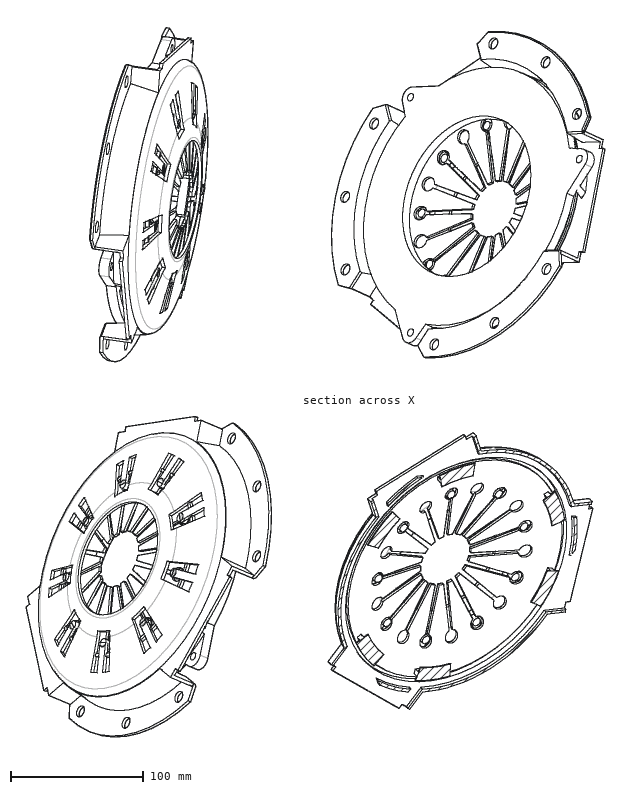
import cadquery as cq
import math


SHEET = 2.5
FLANGE_THICKNESS = 2.8
FLANGE_RADIUS = 129.0
FLANGE_MIDDLE = 45.8
FLANGE_CORNER_ANGLE = 32.8
FLANGE_EDGE_CHAMFER = 1.0
FLANGE_RIM_REACH = 97.0
FLANGE_ROOT = 51.0
BOLT_CIRCLE_RADIUS = 119.0
BOLT_DIAMETER = 8.7
BOLT_SPACING = 29.0
WALL_OUTER_RADIUS_FRONT = 109.3
WALL_OUTER_RADIUS_BACK = 105.3
FLOOR_BACK = 24.8
FLOOR_FRONT = FLOOR_BACK - SHEET
FLOOR_OPENING_RADIUS = 101.0
LIP_RADIUS = 104.8
CONE_RADIUS = 100.5
CONE_DEPTH = 29.5
KINK_RADIUS = 61.5
KINK_DEPTH = 36.0
CROWN_RADIUS = 47.5
CROWN_DEPTH = 40.0
COVER_BORE_RADIUS = 90.0 / 2

BAY_ANGLE = FLANGE_MIDDLE + 60.0
BAY_HALF_WIDTH = 46.0
BAY_EDGE = 114.5
BAY_EDGE_HALF_LENGTH = 41.0
BAY_WALL_EDGE = 110.5
BAY_CHAMFER = 1.3

WINDOW_COUNT = 9
WINDOW_INNER_RADIUS = 57.0
WINDOW_OUTER_RADIUS = 88.1
WINDOW_HALF_ANGLE = 7.2
PIN_DIAMETER = 6.6
PIN_CIRCLE_RADIUS = 65.5
PIN_FRONT = 29.0
PIN_BACK = 35.0

PLATE_FRONT = 6.0
PLATE_BACK = 13.8
PLATE_RADIUS = 102.2
PLATE_BORE = 127.0
LUG_CENTER = 111.5
LUG_RADIUS = 8.2
LUG_HOLE = 6.0
LUG_UPPER_SLOPE = 17.0
LUG_LOWER_SLOPE = 45.0
LUG_UPPER_FOOT = 6.6
LUG_LOWER_FOOT = -14.0
PAD_BACK = 20.7
PAD_INNER_RADIUS = 84.3
PAD_OUTER_RADIUS = 95.8
PAD_SPAN = 19.0
PAD_START_ANGLES = (-39.5, 7.0)
RIDGE_BACK = 25.5
RIDGE_INNER_RADIUS = 88.1
RIDGE_OUTER_RADIUS = 92.0

SPRING_THICKNESS = 2.3
SPRING_RADIUS = 94.5
SPRING_RIM_DEPTH = 23.8
SPRING_BORE_RADIUS = 22.2
SPRING_TIP_DEPTH = 37.0
SLOT_COUNT = 18
SLOT_INNER_WIDTH = 3.8
SLOT_OUTER_WIDTH = 2.8
KEYHOLE_RADIUS = 66.5
KEYHOLE_DIAMETER = 10.7
FULCRUM_RADIUS = 73.0
FULCRUM_WIDTH = 2.5
FULCRUM_FRONT = 28.9
FULCRUM_BACK = 32.2

REPEATS = 3
FACE = cq.Plane(origin=(0, 0, 0), xDir=(0, -1, 0), normal=(-1, 0, 0))
OVERALL = 153.3


def polar(radius, angle):
    return radius * math.cos(math.radians(angle)), radius * math.sin(math.radians(angle))


def sketch(depth):
    return cq.Workplane(FACE).workplane(offset=-depth)


def slab(outline, front, back):
    """Extrude a closed outline drawn at the front depth to the back depth."""
    return outline.extrude(front - back)


def turn(body, angle):
    """Turn a body about the axis, counterclockwise as seen from -X."""
    return body.rotate((0, 0, 0), (-1, 0, 0), angle)


def repeated(body, count):
    pattern = body
    for i in range(1, count):
        pattern = pattern.union(turn(body, 360.0 * i / count))
    return pattern


def revolved(points):
    """Revolve a profile of (depth, radius) points about the X axis."""
    return cq.Workplane("XY").polyline(points).close().revolve(360, (0, 0, 0), (1, 0, 0))


def sector(inner, outer, start, end, front, back):
    middle = (start + end) / 2
    outline = (
        sketch(front)
        .moveTo(*polar(inner, start))
        .lineTo(*polar(outer, start))
        .threePointArc(polar(outer, middle), polar(outer, end))
        .lineTo(*polar(inner, end))
        .threePointArc(polar(inner, middle), polar(inner, start))
        .close()
    )
    return slab(outline, front, back)


def bay_box(half_width, outer_edge, front, back):
    """Block across one bay, from the axis out to a straight edge."""
    outline = sketch(front).center(outer_edge / 2, 0).rect(outer_edge, 2 * half_width)
    return turn(slab(outline, front, back), BAY_ANGLE)


def flange_outline():
    """One flange segment, lying symmetrically about angle zero."""
    along = polar(1, 60)
    across = polar(1, -30)
    end = [BAY_WALL_EDGE * a + BAY_HALF_WIDTH * c for a, c in zip(along, across)]
    root = [FLANGE_ROOT * a + BAY_HALF_WIDTH * c for a, c in zip(along, across)]
    corner = polar(FLANGE_RADIUS, FLANGE_CORNER_ANGLE)
    return (
        sketch(0)
        .moveTo(root[0], -root[1])
        .lineTo(end[0], -end[1])
        .lineTo(corner[0], -corner[1])
        .threePointArc((FLANGE_RADIUS, 0), corner)
        .lineTo(*end)
        .lineTo(*root)
        .close()
    )


def flange_segment(chamfered):
    segment = slab(flange_outline(), 0, FLANGE_THICKNESS)
    if chamfered:
        rim = cq.selectors.BoxSelector((-2.5, -FLANGE_RADIUS, -OVERALL), (2.5, -FLANGE_RIM_REACH, OVERALL))
        segment = segment.faces("<X").edges(rim).chamfer(FLANGE_EDGE_CHAMFER)
    for offset in (-BOLT_SPACING, 0, BOLT_SPACING):
        hole = sketch(0).center(*polar(BOLT_CIRCLE_RADIUS, offset)).circle(BOLT_DIAMETER / 2)
        segment = segment.cut(slab(hole, 0, FLANGE_THICKNESS))
    return segment


def cone_block():
    """Tapered block filling the cover from the flange to the back of the floor."""
    return revolved([
        (0, 0), (0, WALL_OUTER_RADIUS_FRONT), (FLOOR_BACK, WALL_OUTER_RADIUS_BACK), (FLOOR_BACK, 0),
    ])


def cone_space():
    """Space inside the tapered wall and through the floor."""
    return revolved([
        (0, 0),
        (0, WALL_OUTER_RADIUS_FRONT - SHEET),
        (FLOOR_FRONT, WALL_OUTER_RADIUS_BACK - SHEET),
        (FLOOR_FRONT, FLOOR_OPENING_RADIUS),
        (FLOOR_BACK, FLOOR_OPENING_RADIUS),
        (FLOOR_BACK, 0),
    ])


def crown():
    """Dished back of the cover: rounded shoulder, shallow cone, steeper cone and flat rim."""
    shoulder_middle = (
        FLOOR_BACK + (CONE_DEPTH - FLOOR_BACK) * math.sin(math.radians(50)),
        CONE_RADIUS + (LIP_RADIUS - CONE_RADIUS) * math.cos(math.radians(50)),
    )
    outside = (
        cq.Workplane("XY")
        .moveTo(FLOOR_FRONT, LIP_RADIUS)
        .lineTo(FLOOR_BACK, LIP_RADIUS)
        .threePointArc(shoulder_middle, (CONE_DEPTH, CONE_RADIUS))
        .lineTo(KINK_DEPTH, KINK_RADIUS)
        .lineTo(CROWN_DEPTH, CROWN_RADIUS)
        .lineTo(CROWN_DEPTH, COVER_BORE_RADIUS)
        .lineTo(CROWN_DEPTH - SHEET, COVER_BORE_RADIUS)
        .lineTo(KINK_DEPTH - SHEET, KINK_RADIUS)
        .lineTo(CONE_DEPTH - SHEET, CONE_RADIUS - SHEET)
        .lineTo(FLOOR_FRONT, CONE_RADIUS - SHEET)
        .close()
    )
    return outside.revolve(360, (0, 0, 0), (1, 0, 0))


def crown_window():
    """Window with a tongue left standing in it from the outer end."""
    opening = sector(
        WINDOW_INNER_RADIUS, WINDOW_OUTER_RADIUS, -WINDOW_HALF_ANGLE, WINDOW_HALF_ANGLE,
        FLOOR_BACK, CROWN_DEPTH,
    )
    length = WINDOW_OUTER_RADIUS + SHEET - PIN_CIRCLE_RADIUS
    tongue = sketch(FLOOR_BACK).center(PIN_CIRCLE_RADIUS + length / 2, 0).rect(length, PIN_DIAMETER)
    return turn(opening.cut(slab(tongue, FLOOR_BACK, CROWN_DEPTH)), 90)


def keyhole_pin():
    pin = sketch(PIN_FRONT).center(PIN_CIRCLE_RADIUS, 0).circle(PIN_DIAMETER / 2)
    return turn(slab(pin, PIN_FRONT, PIN_BACK), 90)


def bay_floor():
    """Raised floor of one bay, stepped back at its two outer corners."""
    middle = bay_box(BAY_EDGE_HALF_LENGTH, BAY_EDGE, FLOOR_FRONT, FLOOR_BACK)
    return middle.union(bay_box(BAY_HALF_WIDTH + SHEET, BAY_WALL_EDGE, FLOOR_FRONT, FLOOR_BACK))


def bay_opening():
    """Gap between two flange segments, flared at the front and in front of the bay floor."""
    flare = BAY_HALF_WIDTH + BAY_CHAMFER
    section = cq.Workplane("XY").polyline([
        (0, flare),
        (BAY_CHAMFER, BAY_HALF_WIDTH),
        (FLOOR_FRONT, BAY_HALF_WIDTH),
        (FLOOR_FRONT, -BAY_HALF_WIDTH),
        (BAY_CHAMFER, -BAY_HALF_WIDTH),
        (0, -flare),
    ]).close()
    return turn(section.extrude(OVERALL), BAY_ANGLE - 90)


def cover():
    walls = repeated(bay_box(BAY_HALF_WIDTH + SHEET, BAY_WALL_EDGE, 0, FLOOR_BACK), REPEATS)
    kept_walls = repeated(slab(lug_outline(), PLATE_FRONT, FLOOR_FRONT), REPEATS).intersect(cone_block())
    openings = repeated(bay_opening(), REPEATS).cut(kept_walls)
    body = cone_block().union(walls)
    for i in range(REPEATS):
        body = body.union(turn(flange_segment(chamfered=(i == 0)), FLANGE_MIDDLE + 360.0 * i / REPEATS))
    body = body.cut(openings)
    body = body.union(repeated(bay_floor(), REPEATS)).cut(cone_space())
    body = body.union(crown()).cut(repeated(crown_window(), WINDOW_COUNT))
    return body.union(repeated(keyhole_pin(), WINDOW_COUNT))


def lug_outline():
    upper = polar(LUG_RADIUS, 90 - LUG_UPPER_SLOPE)
    lower = polar(LUG_RADIUS, -LUG_LOWER_SLOPE)
    return (
        sketch(PLATE_FRONT)
        .moveTo(PLATE_BORE / 2 + LUG_RADIUS, 0)
        .lineTo(*polar(PLATE_RADIUS, LUG_LOWER_FOOT))
        .lineTo(LUG_CENTER + lower[0], lower[1])
        .threePointArc((LUG_CENTER + LUG_RADIUS, 0), (LUG_CENTER + upper[0], upper[1]))
        .lineTo(*polar(PLATE_RADIUS, LUG_UPPER_FOOT))
        .close()
    )


def lug():
    hole = sketch(PLATE_FRONT).center(LUG_CENTER, 0).circle(LUG_HOLE / 2)
    return slab(lug_outline(), PLATE_FRONT, PLATE_BACK).cut(slab(hole, PLATE_FRONT, PLATE_BACK))


def pressure_plate():
    disc = sketch(PLATE_FRONT).circle(PLATE_RADIUS).circle(PLATE_BORE / 2)
    plate = slab(disc, PLATE_FRONT, PLATE_BACK).union(repeated(lug(), REPEATS))
    for start in PAD_START_ANGLES:
        end = start + PAD_SPAN
        pad = sector(PAD_INNER_RADIUS, PAD_OUTER_RADIUS, start, end, PLATE_BACK, PAD_BACK)
        ridge = sector(RIDGE_INNER_RADIUS, RIDGE_OUTER_RADIUS, start, end, PAD_BACK, RIDGE_BACK)
        plate = plate.union(repeated(pad.union(ridge), REPEATS))
    return plate


def finger_slot():
    """Tapered slot between two fingers, ending in a round keyhole."""
    inner = SPRING_BORE_RADIUS - SLOT_INNER_WIDTH
    outline = sketch(SPRING_RIM_DEPTH).polyline([
        (inner, -SLOT_INNER_WIDTH / 2),
        (KEYHOLE_RADIUS, -SLOT_OUTER_WIDTH / 2),
        (KEYHOLE_RADIUS, SLOT_OUTER_WIDTH / 2),
        (inner, SLOT_INNER_WIDTH / 2),
    ]).close()
    keyhole = sketch(SPRING_RIM_DEPTH).center(KEYHOLE_RADIUS, 0).circle(KEYHOLE_DIAMETER / 2)
    slot = slab(outline, SPRING_RIM_DEPTH, CROWN_DEPTH)
    return turn(slot.union(slab(keyhole, SPRING_RIM_DEPTH, CROWN_DEPTH)), 90)


def diaphragm():
    spring = revolved([
        (SPRING_RIM_DEPTH, SPRING_RADIUS),
        (SPRING_TIP_DEPTH, SPRING_BORE_RADIUS),
        (SPRING_TIP_DEPTH + SPRING_THICKNESS, SPRING_BORE_RADIUS),
        (SPRING_RIM_DEPTH + SPRING_THICKNESS, SPRING_RADIUS),
    ])
    return spring.cut(repeated(finger_slot(), SLOT_COUNT))


def fulcrum_ring():
    """Ring that the diaphragm pivots on, held between it and the cover."""
    return revolved([
        (FULCRUM_FRONT, FULCRUM_RADIUS),
        (FULCRUM_BACK, FULCRUM_RADIUS),
        (FULCRUM_BACK, FULCRUM_RADIUS + FULCRUM_WIDTH),
        (FULCRUM_FRONT, FULCRUM_RADIUS + FULCRUM_WIDTH),
    ])


moving_parts = pressure_plate().union(diaphragm()).union(fulcrum_ring())
result = cover().union(moving_parts)